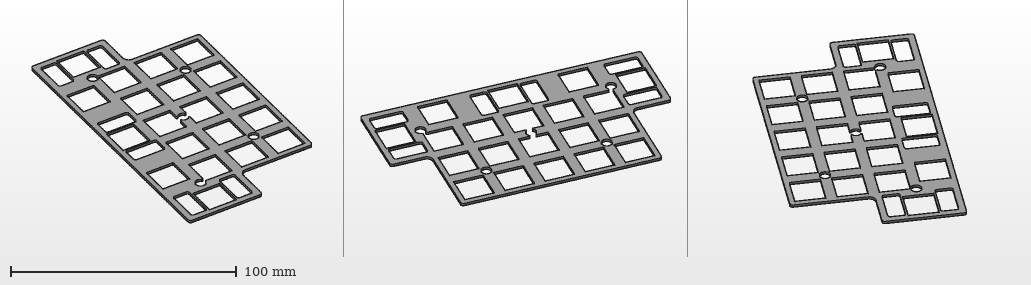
import cadquery as cq

plate_width = 133.4
pitch = plate_width / 7
plate_depth = 4 * pitch
thickness = 1.3
block_width = 5 * pitch
outer_corner_radius = 1.3
inner_corner_radius = 3.1

switch_size = 14.0
grid_rows = (1.5 * pitch, 0.5 * pitch, -0.5 * pitch)
grid_columns = [column * pitch for column in range(-2, 3)]
front_row_y = -1.5 * pitch
front_row_columns = (-1.75 * pitch, 0, 1.75 * pitch)
side_key_x = 3 * pitch
side_key_y = -pitch

stabiliser_width = 8.0
stabiliser_length = 16.0
stabiliser_spacing = 23.9
stabiliser_spread = stabiliser_spacing / 2
stabiliser_shift = 1.5
stabiliser_corner_radius = 1.0

hole_diameter = 5.0
rear_hole_x = 1.5 * pitch
rear_hole_y = pitch
front_hole_x = 2.375 * pitch
front_hole_y = -pitch

centre_neck_width = 3.0
front_neck_reach = 1.9
neck_tip_radius = 0.4


def rounded_box(width, depth, x, y, radius):
    """Box through the plate thickness with rounded vertical edges."""
    box = cq.Workplane("XY").box(width, depth, thickness)
    return box.edges("|Z").fillet(radius).translate((x, y, 0))


def round_edge(body, x, y, radius):
    """Round the vertical edge nearest to the point."""
    edge = cq.selectors.NearestToPointSelector((x, y, 0))
    return body.edges("|Z").edges(edge).fillet(radius)


def make_blank():
    """T-shaped plate with rounded outer and inner corners."""
    half_width = plate_width / 2
    half_block = block_width / 2
    half_depth = plate_depth / 2
    outline = [
        (-half_width, -half_depth),
        (half_width, -half_depth),
        (half_width, 0),
        (half_block, 0),
        (half_block, half_depth),
        (-half_block, half_depth),
        (-half_block, 0),
        (-half_width, 0),
    ]
    blank = cq.Workplane("XY").polyline(outline).close().extrude(thickness / 2, both=True)
    for x, y in outline:
        is_inner = abs(x) == half_block and y == 0
        radius = inner_corner_radius if is_inner else outer_corner_radius
        blank = round_edge(blank, x, y, radius)
    return blank


def cut_switches(plate):
    points = [(x, y) for x in grid_columns for y in grid_rows]
    points += [(x, front_row_y) for x in front_row_columns]
    points += [(-side_key_x, side_key_y), (side_key_x, side_key_y)]
    cutters = cq.Workplane("XY").pushPoints(points).box(switch_size, switch_size, thickness)
    return plate.cut(cutters)


def cut_stabilisers(plate):
    for side in (-1, 1):
        plate = plate.cut(rounded_box(
            stabiliser_width, stabiliser_length,
            side * stabiliser_spread, front_row_y + stabiliser_shift, stabiliser_corner_radius,
        ))
        for end in (-1, 1):
            plate = plate.cut(rounded_box(
                stabiliser_length, stabiliser_width,
                side * (side_key_x - stabiliser_shift), side_key_y + end * stabiliser_spread,
                stabiliser_corner_radius,
            ))
    return plate


def cut_holes(plate):
    points = [(0, 0)]
    for side in (-1, 1):
        points.append((side * rear_hole_x, rear_hole_y))
        points.append((side * front_hole_x, front_hole_y))
    pins = cq.Workplane("XY").pushPoints(points).circle(hole_diameter / 2)
    return plate.cut(pins.extrude(thickness / 2, both=True))


def open_centre_hole(plate):
    """Join the centre hole to the switch openings behind and in front of it."""
    web = pitch - switch_size
    plate = plate.cut(cq.Workplane("XY").box(centre_neck_width, web, thickness))
    for side in (-1, 1):
        for end in (-1, 1):
            plate = round_edge(plate, side * centre_neck_width / 2, end * web / 2, neck_tip_radius)
    return plate


def open_front_holes(plate):
    """Join each front hole to the corner of the outermost switch opening beside it."""
    switch_edge_x = grid_columns[-1] + switch_size / 2
    switch_edge_y = grid_rows[-1] - switch_size / 2
    inner_x = front_hole_x - front_neck_reach
    neck_width = switch_edge_x - inner_x
    neck_depth = switch_edge_y - front_hole_y
    hole_top_y = front_hole_y + hole_diameter / 2
    for side in (-1, 1):
        neck = cq.Workplane("XY").box(neck_width, neck_depth, thickness)
        neck_x = side * (inner_x + neck_width / 2)
        plate = plate.cut(neck.translate((neck_x, front_hole_y + neck_depth / 2, 0)))
        plate = round_edge(plate, side * inner_x, switch_edge_y, neck_tip_radius)
        plate = round_edge(plate, side * switch_edge_x, hole_top_y, neck_tip_radius)
    return plate


plate = cut_holes(cut_stabilisers(cut_switches(make_blank())))
result = open_front_holes(open_centre_hole(plate))